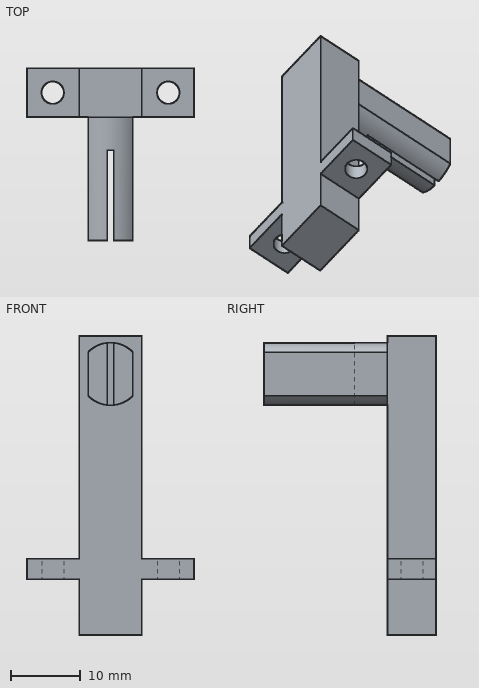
import cadquery as cq

bar_width = 9.0
bar_depth = 7.0
bar_height = 43.0

tab_span = 24.0
tab_thickness = 3.0
tab_bottom = 8.0
hole_diameter = 3.2
hole_spacing = 16.6

pin_diameter = 9.0
pin_flat_width = 6.4
pin_length = 24.75 - bar_depth
pin_top_gap = 1.0
pin_center_height = bar_height - pin_top_gap - pin_diameter / 2
slot_width = 0.9
slot_length = 13.0


def make_bar():
    return cq.Workplane("XY").box(bar_width, bar_depth, bar_height, centered=(True, False, False))


def make_tabs():
    plate = cq.Workplane("XY", origin=(0, 0, tab_bottom)).box(
        tab_span, bar_depth, tab_thickness, centered=(True, False, False)
    )
    holes = (
        cq.Workplane("XY", origin=(0, bar_depth / 2, tab_bottom))
        .pushPoints([(-hole_spacing / 2, 0), (hole_spacing / 2, 0)])
        .circle(hole_diameter / 2)
        .extrude(tab_thickness)
    )
    return plate.cut(holes)


def make_pin():
    base = cq.Workplane("XZ", origin=(0, 0, pin_center_height))
    cylinder = base.circle(pin_diameter / 2).extrude(pin_length)
    flats = base.rect(pin_flat_width, pin_diameter).extrude(pin_length)
    slot = (
        base.workplane(offset=pin_length - slot_length)
        .rect(slot_width, pin_diameter)
        .extrude(slot_length)
    )
    return cylinder.intersect(flats).cut(slot)


result = make_bar().union(make_tabs()).union(make_pin())